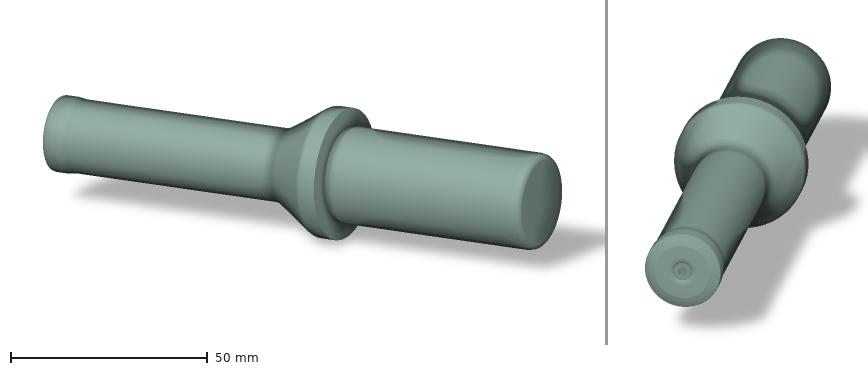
import cadquery as cq
import math

length = 138.6

head_radius = 9.8
head_back = 4.3
rim_radius = 8.2
rim_edge_x = 0.7
rim_edge_radius = 9.7
rim_band_x = 1.1
front_lip_radius = 7.1
lip_drop = 0.3
recess_radius = 3.6
recess_step_radius = 2.9
recess_floor_radius = 2.4
recess_step_depth = 0.1
recess_depth = 0.4
center_hole_radius = 1.1
center_hole_depth = 0.7

stem_radius = 19.0 / 2
collar_end = 5.5
collar_end_radius = 9.7
collar_taper_end = 6.8
cone_angle = math.radians(32)
cone_fillet_start = 63.9
cone_fillet_radius = 5.7
flange_radius = 34.0 / 2
flange_front = 77.0
flange_fillet_end = 78.2
flange_rim_back = 82.2
flange_root_back = 82.8
neck_radius = 24.5 / 2
neck_end = 83.6
shank_radius = 25.0 / 2
shank_start = 84.5
shank_taper_start = 136.3
shank_round_start = 137.1
shank_taper_drop = 0.1
end_round = length - shank_round_start


def revolve_about_x(profile):
    """Turn a closed (x, radius) profile into a solid of revolution."""
    return profile.close().revolve(360, (0, 0, 0), (1, 0, 0))


def make_head():
    profile = (
        cq.Workplane("XY")
        .moveTo(center_hole_depth, 0)
        .lineTo(center_hole_depth, center_hole_radius)
        .lineTo(recess_depth, center_hole_radius)
        .lineTo(recess_depth, recess_floor_radius)
        .lineTo(recess_step_depth, recess_step_radius)
        .lineTo(0, recess_radius)
        .lineTo(0, front_lip_radius)
        .lineTo(lip_drop, rim_radius)
        .lineTo(rim_edge_x, rim_edge_radius)
        .lineTo(rim_band_x, head_radius)
        .lineTo(head_back, head_radius)
        .lineTo(head_back, 0)
    )
    return revolve_about_x(profile)


def make_body():
    fillet_center_r = stem_radius + cone_fillet_radius
    cone_start = cone_fillet_start + cone_fillet_radius * math.sin(cone_angle)
    cone_start_r = fillet_center_r - cone_fillet_radius * math.cos(cone_angle)
    fillet_mid = (
        cone_fillet_start + cone_fillet_radius * math.sin(cone_angle / 2),
        fillet_center_r - cone_fillet_radius * math.cos(cone_angle / 2),
    )
    rim_fillet_radius = (flange_fillet_end - flange_front) / math.sin(cone_angle)
    rim_center_r = flange_radius - rim_fillet_radius
    cone_end_r = rim_center_r + rim_fillet_radius * math.cos(cone_angle)
    rim_fillet_mid = (
        flange_fillet_end - rim_fillet_radius * math.sin(cone_angle / 2),
        rim_center_r + rim_fillet_radius * math.cos(cone_angle / 2),
    )
    round_top_r = shank_radius - shank_taper_drop
    round_mid = (
        shank_round_start + end_round * math.sin(math.pi / 4),
        round_top_r - end_round * (1 - math.cos(math.pi / 4)),
    )
    profile = (
        cq.Workplane("XY")
        .moveTo(head_back, 0)
        .lineTo(head_back, head_radius)
        .lineTo(collar_end, collar_end_radius)
        .lineTo(collar_taper_end, stem_radius)
        .lineTo(cone_fillet_start, stem_radius)
        .threePointArc(fillet_mid, (cone_start, cone_start_r))
        .lineTo(flange_front, cone_end_r)
        .threePointArc(rim_fillet_mid, (flange_fillet_end, flange_radius))
        .lineTo(flange_rim_back, flange_radius)
        .lineTo(flange_root_back, neck_radius)
        .lineTo(neck_end, neck_radius)
        .lineTo(shank_start, shank_radius)
        .lineTo(shank_taper_start, shank_radius)
        .lineTo(shank_round_start, round_top_r)
        .threePointArc(round_mid, (length, round_top_r - end_round))
        .lineTo(length, 0)
    )
    return revolve_about_x(profile)


head = make_head()
body = make_body()

result = cq.Compound.makeCompound([head.val(), body.val()])